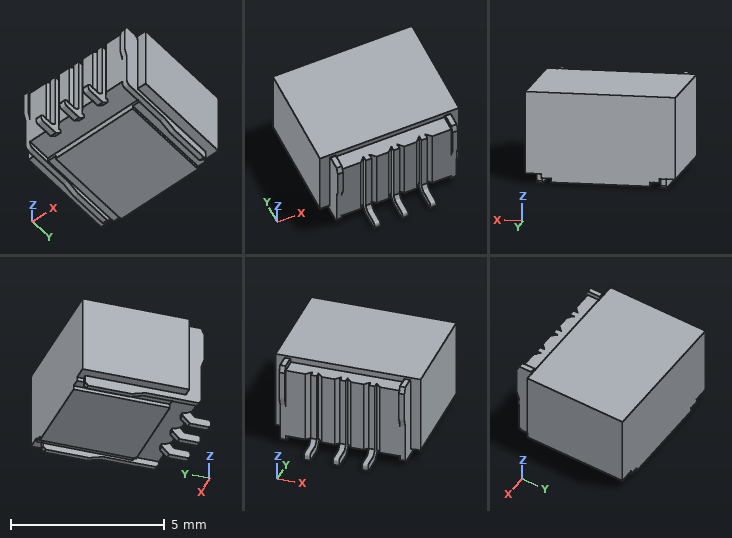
import cadquery as cq

HOUSING_WIDTH = 5.0
HOUSING_DEPTH = 3.7
HOUSING_TOP = 3.1
HOUSING_BOTTOM = 0.365

CLIP_THICKNESS = 0.19
CLIP_OUTER_X = 2.155
CLIP_INNER_X = CLIP_OUTER_X - CLIP_THICKNESS
CLIP_TOP = 3.06
CLIP_TOP_CHAMFER_Y = 0.07
CLIP_TOP_CHAMFER_Z = 0.12
CLIP_NOSE_PROJECTION = 0.1
CLIP_NOSE_TOP = 2.84
CLIP_NOSE_BOTTOM = 1.845
CLIP_NOSE_END = 1.55
CLIP_NOSE_BLEND = 0.2
CLIP_HEEL_RADIUS = 0.16
CLIP_SOLE = 0.145
CLIP_RAMP_START = 1.39
CLIP_RAMP_END = 1.89
CLIP_TOE_CHAMFER = 0.095
CLIP_END = 3.475

BLOCK_DEPTH = 0.55
BLOCK_TOP = 2.89
GROOVE_DEPTH = 0.175

CONTACT_COUNT = 3
CONTACT_PITCH = 1.0
CONTACT_WIDTH = 0.215
CONTACT_THICKNESS = 0.285
CONTACT_TIP_Y = -1.25
CONTACT_TIP_RADIUS = 0.095
CONTACT_BEND_TOP = 0.455
CONTACT_BEND_CORNER_Y = -0.69
CONTACT_BEND_BLEND = 0.12
CONTACT_HEEL_Y = -0.515

PAD_START = 0.365
PAD_WIDTH = 3.28
PAD_BOTTOM = 0.095
PAD_STEP_BOTTOM = 0.23


def box(x_limits, y_limits, z_limits):
    """Axis-aligned box between the given limits."""
    return (
        cq.Workplane("XY", origin=(x_limits[0], y_limits[0], z_limits[0]))
        .box(
            x_limits[1] - x_limits[0],
            y_limits[1] - y_limits[0],
            z_limits[1] - z_limits[0],
            centered=False,
        )
    )


def centered_box(width, y_limits, z_limits):
    """Box that is symmetric about X = 0."""
    return box((-width / 2, width / 2), y_limits, z_limits)


def plate(outline, x_start, thickness):
    """Plate with a closed (Y, Z) outline, running toward +X from x_start."""
    sketch = cq.Workplane("YZ", origin=(x_start, 0, 0))
    return sketch.polyline(outline).close().extrude(thickness)


def round_corner(solid, y, z, radius):
    """Fillet the X-parallel edge of a plate at the given Y and Z."""
    tolerance = 0.001
    corner = cq.selectors.BoxSelector(
        (-HOUSING_WIDTH, y - tolerance, z - tolerance),
        (HOUSING_WIDTH, y + tolerance, z + tolerance),
    )
    return solid.edges("|X").edges(corner).fillet(radius)


def contact_positions():
    """X centre of every contact."""
    return [(i - (CONTACT_COUNT - 1) / 2) * CONTACT_PITCH for i in range(CONTACT_COUNT)]


def contact_block():
    """Block between the clips with a pair of 45 degree grooves at each contact."""
    block = centered_box(2 * CLIP_INNER_X, (-BLOCK_DEPTH, 0), (HOUSING_BOTTOM, BLOCK_TOP))
    for x in contact_positions():
        for side in (-1, 1):
            groove_root = x + side * CONTACT_WIDTH / 2
            groove = (
                cq.Workplane("XY", origin=(0, 0, HOUSING_BOTTOM))
                .moveTo(groove_root, -BLOCK_DEPTH)
                .lineTo(groove_root, -BLOCK_DEPTH + GROOVE_DEPTH)
                .lineTo(groove_root + side * GROOVE_DEPTH, -BLOCK_DEPTH)
                .close()
                .extrude(BLOCK_TOP - HOUSING_BOTTOM)
            )
            block = block.cut(groove)
    return block


def contact(x):
    """Bent contact tail with a rounded tip, centred on x."""
    front = -BLOCK_DEPTH
    back = front + CONTACT_THICKNESS
    heel_rise = back - CONTACT_HEEL_Y
    outline = [
        (front, BLOCK_TOP),
        (front, CONTACT_BEND_TOP),
        (CONTACT_BEND_CORNER_Y, CONTACT_THICKNESS),
        (CONTACT_TIP_Y, CONTACT_THICKNESS),
        (CONTACT_TIP_Y, 0),
        (CONTACT_HEEL_Y, 0),
        (back, heel_rise),
        (back, BLOCK_TOP),
    ]
    tail = plate(outline, x - CONTACT_WIDTH / 2, CONTACT_WIDTH)
    tail = round_corner(tail, CONTACT_BEND_CORNER_Y, CONTACT_THICKNESS, CONTACT_BEND_BLEND)
    for z in (0, CONTACT_THICKNESS):
        tail = round_corner(tail, CONTACT_TIP_Y, z, CONTACT_TIP_RADIUS)
    return tail


def clip(x_start):
    """L-shaped hold-down clip: upright behind the housing, foot underneath it."""
    front = -BLOCK_DEPTH
    nose = front - CLIP_NOSE_PROJECTION
    outline = [
        (0, HOUSING_BOTTOM),
        (0, CLIP_TOP - CLIP_TOP_CHAMFER_Z),
        (-CLIP_TOP_CHAMFER_Y, CLIP_TOP),
        (front, CLIP_TOP),
        (nose, CLIP_NOSE_TOP),
        (nose, CLIP_NOSE_BOTTOM),
        (front, CLIP_NOSE_END),
        (front, CLIP_SOLE),
        (CLIP_RAMP_START, CLIP_SOLE),
        (CLIP_RAMP_END, 0),
        (CLIP_END - CLIP_TOE_CHAMFER, 0),
        (CLIP_END, CLIP_TOE_CHAMFER),
        (CLIP_END, HOUSING_BOTTOM),
    ]
    body = plate(outline, x_start, CLIP_THICKNESS)
    body = round_corner(body, nose, CLIP_NOSE_BOTTOM, CLIP_NOSE_BLEND)
    body = round_corner(body, front, CLIP_NOSE_END, CLIP_NOSE_BLEND)
    return round_corner(body, front, CLIP_SOLE, CLIP_HEEL_RADIUS)


def stepped_pad():
    """Wide shallow pad between the clips with a narrower, deeper centre."""
    y_limits = (PAD_START, HOUSING_DEPTH)
    wide = centered_box(2 * CLIP_INNER_X, y_limits, (PAD_STEP_BOTTOM, HOUSING_BOTTOM))
    narrow = centered_box(PAD_WIDTH, y_limits, (PAD_BOTTOM, HOUSING_BOTTOM))
    return wide.union(narrow)


result = centered_box(HOUSING_WIDTH, (0, HOUSING_DEPTH), (HOUSING_BOTTOM, HOUSING_TOP))
result = result.union(contact_block()).union(stepped_pad())
for clip_start in (-CLIP_OUTER_X, CLIP_INNER_X):
    result = result.union(clip(clip_start))
for contact_x in contact_positions():
    result = result.union(contact(contact_x))